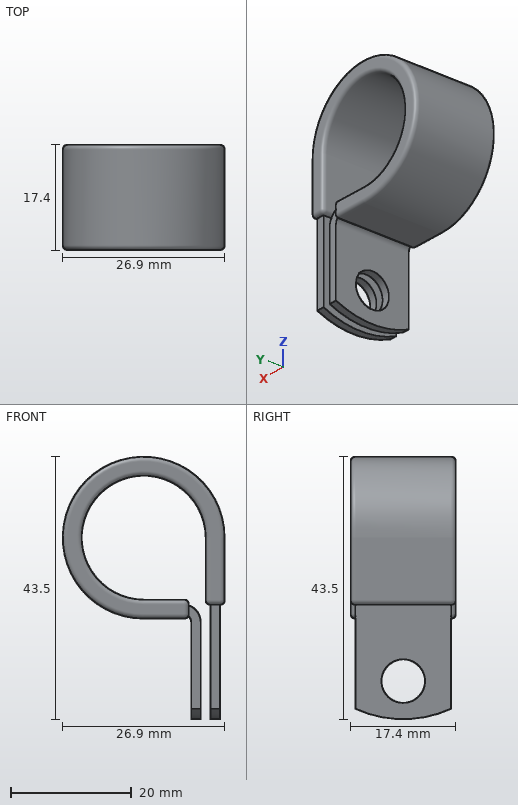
import cadquery as cq
import math

total_height = 43.5
outer_diameter = 26.85
cushion_thickness = 3.18
cushion_width = 17.45
edge_radius = 0.8
strap_thickness = 1.6
upright_leg_end = 11.15
cross_leg_end = 7.5
tab_gap = 1.55
bend_radius = 3.0
hole_diameter = 7.18
hole_drop = 23.75
tip_rise = 1.75

outer_radius = outer_diameter / 2
cushion_inner_radius = outer_radius - cushion_thickness
strap_outer_radius = outer_radius - (cushion_thickness - strap_thickness) / 2
strap_inner_radius = strap_outer_radius - strap_thickness
strap_width = cushion_width - 2 * edge_radius
tab_bottom = outer_radius - total_height
left_tab_right = strap_inner_radius - tab_gap
left_tab_left = left_tab_right - strap_thickness
bend_center_x = left_tab_right - bend_radius
bend_center_z = -strap_inner_radius - bend_radius
inner_bend_radius = bend_radius - strap_thickness
diagonal = math.sqrt(0.5)


def loop_midpoint(radius):
    """Upper-left middle of the 270 degree loop."""
    return -radius * diagonal, radius * diagonal


def bend_midpoint(radius):
    return bend_center_x + radius * diagonal, bend_center_z + radius * diagonal


def extrude_centered(profile, width):
    return profile.close().extrude(width / 2, both=True)


def make_cushion():
    profile = (
        cq.Workplane("XZ")
        .moveTo(outer_radius, -upright_leg_end)
        .lineTo(outer_radius, 0)
        .threePointArc(loop_midpoint(outer_radius), (0, -outer_radius))
        .lineTo(cross_leg_end, -outer_radius)
        .lineTo(cross_leg_end, -cushion_inner_radius)
        .lineTo(0, -cushion_inner_radius)
        .threePointArc(loop_midpoint(cushion_inner_radius), (cushion_inner_radius, 0))
        .lineTo(cushion_inner_radius, -upright_leg_end)
    )
    body = extrude_centered(profile, cushion_width)

    end_corners = [
        (outer_radius, 0, -upright_leg_end),
        (cushion_inner_radius, 0, -upright_leg_end),
        (cross_leg_end, 0, -outer_radius),
        (cross_leg_end, 0, -cushion_inner_radius),
    ]
    rounded = body.faces("|Y").edges()
    for corner in end_corners:
        rounded = rounded.add(body.edges(cq.selectors.NearestToPointSelector(corner)))
    return rounded.fillet(edge_radius)


def make_strap():
    profile = (
        cq.Workplane("XZ")
        .moveTo(strap_outer_radius, tab_bottom)
        .lineTo(strap_outer_radius, 0)
        .threePointArc(loop_midpoint(strap_outer_radius), (0, -strap_outer_radius))
        .lineTo(bend_center_x, -strap_outer_radius)
        .threePointArc(bend_midpoint(inner_bend_radius), (left_tab_left, bend_center_z))
        .lineTo(left_tab_left, tab_bottom)
        .lineTo(left_tab_right, tab_bottom)
        .lineTo(left_tab_right, bend_center_z)
        .threePointArc(bend_midpoint(bend_radius), (bend_center_x, -strap_inner_radius))
        .lineTo(0, -strap_inner_radius)
        .threePointArc(loop_midpoint(strap_inner_radius), (strap_inner_radius, 0))
        .lineTo(strap_inner_radius, tab_bottom)
    )
    return extrude_centered(profile, strap_width)


def make_tip_envelope():
    """Block with a curved bottom that shapes both tab tips."""
    half_width = strap_width / 2
    return (
        cq.Workplane("YZ")
        .moveTo(-half_width, outer_radius)
        .lineTo(-half_width, tab_bottom + tip_rise)
        .threePointArc((0, tab_bottom), (half_width, tab_bottom + tip_rise))
        .lineTo(half_width, outer_radius)
        .close()
        .extrude(outer_diameter, both=True)
    )


def make_bolt_hole():
    """Cylinder along X that passes through both tabs."""
    return (
        cq.Workplane("YZ")
        .center(0, -hole_drop)
        .circle(hole_diameter / 2)
        .extrude(outer_diameter)
    )


strap = make_strap().intersect(make_tip_envelope()).cut(make_bolt_hole())
result = make_cushion().union(strap)